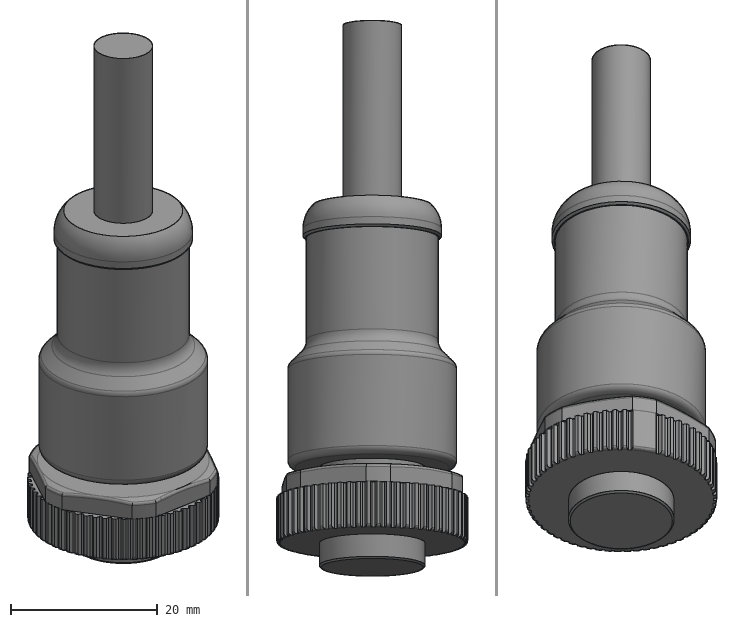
import cadquery as cq
import math

TOTAL_HEIGHT = 74.9
CABLE_RADIUS = 4.0

STEM_RADIUS = 7.2
STEM_CHAMFER = 0.25

BODY_BOTTOM = 13.8
BODY_RADIUS = 11.5
BODY_BOTTOM_FILLET = 1.0
SHOULDER_START = 27.4
SHOULDER_ANGLE = math.radians(45)
SHOULDER_ROUND = 1.0
NECK_ROUND = 2.5
NECK_RADIUS = 9.0
COLLAR_BOTTOM = 45.5
COLLAR_RADIUS = 9.45
COLLAR_STRAIGHT_TOP = 46.8
COLLAR_CHAMFER = 0.3
BODY_TOP = 50.0
BODY_TOP_RADIUS = 8.1

NUT_BOTTOM = 3.35
KNURL_TOP = 9.6
NUT_TOP = 12.3
NUT_RADIUS = 13.0
RING_FILLET = 0.4
HEX_ACROSS_FLATS = 24.0
HEX_CORNER_ANGLE = 229.0
HEX_TOP_RADIUS = 11.7
HEX_RIM_FILLET = 0.4
HEX_TOP_SLOPE = math.radians(15)
POLYGON_FIRST_CORNER = 30.0

GROOVE_POSITIONS = 60
SKIPPED_GROOVES = 2
GROOVE_DEPTH = 0.45
GROOVE_MOUTH_WIDTH = 0.9
GROOVE_ROOT_WIDTH = 0.35


def cylinder(radius, bottom, top):
    return cq.Workplane("XY").workplane(offset=bottom).circle(radius).extrude(top - bottom)


def make_body():
    """Revolved grip: rounded shoulder, concave neck and a domed end collar."""
    diagonal_sin = math.sin(SHOULDER_ANGLE)
    diagonal_cos = math.cos(SHOULDER_ANGLE)

    def round_point(radius, turn):
        """Offset (inward, upward) along a round that starts on a vertical wall."""
        return radius * (1 - math.cos(turn)), radius * math.sin(turn)

    mid_in, mid_up = round_point(SHOULDER_ROUND, SHOULDER_ANGLE / 2)
    end_in, end_up = round_point(SHOULDER_ROUND, SHOULDER_ANGLE)
    shoulder_mid = (BODY_RADIUS - mid_in, SHOULDER_START + mid_up)
    cone_start = (BODY_RADIUS - end_in, SHOULDER_START + end_up)

    neck_mid_out, neck_mid_down = round_point(NECK_ROUND, SHOULDER_ANGLE / 2)
    neck_out, neck_down = round_point(NECK_ROUND, SHOULDER_ANGLE)
    cone_end_radius = NECK_RADIUS + neck_out
    cone_rise = (cone_start[0] - cone_end_radius) * diagonal_sin / diagonal_cos
    cone_end = (cone_end_radius, cone_start[1] + cone_rise)
    neck_start = cone_end[1] + neck_down
    neck_mid = (NECK_RADIUS + neck_mid_out, neck_start - neck_mid_down)

    profile = (
        cq.Workplane("XZ")
        .moveTo(0, BODY_BOTTOM)
        .lineTo(BODY_RADIUS - BODY_BOTTOM_FILLET, BODY_BOTTOM)
        .radiusArc((BODY_RADIUS, BODY_BOTTOM + BODY_BOTTOM_FILLET), -BODY_BOTTOM_FILLET)
        .lineTo(BODY_RADIUS, SHOULDER_START)
        .threePointArc(shoulder_mid, cone_start)
        .lineTo(*cone_end)
        .threePointArc(neck_mid, (NECK_RADIUS, neck_start))
        .lineTo(NECK_RADIUS, COLLAR_BOTTOM)
        .lineTo(COLLAR_RADIUS - COLLAR_CHAMFER, COLLAR_BOTTOM)
        .lineTo(COLLAR_RADIUS, COLLAR_BOTTOM + COLLAR_CHAMFER)
        .lineTo(COLLAR_RADIUS, COLLAR_STRAIGHT_TOP)
        .tangentArcPoint((BODY_TOP_RADIUS, BODY_TOP), relative=False)
        .lineTo(0, BODY_TOP)
        .close()
    )
    return profile.revolve(360, (0, 0, 0), (0, 1, 0))


def make_hexagon():
    """Hexagon with corners on the nut radius, a shallow conical top and a rounded rim."""
    hexagon = (
        cq.Workplane("XY")
        .workplane(offset=KNURL_TOP)
        .polygon(6, HEX_ACROSS_FLATS, circumscribed=True)
        .extrude(NUT_TOP - KNURL_TOP)
        .rotate((0, 0, 0), (0, 0, 1), HEX_CORNER_ANGLE - POLYGON_FIRST_CORNER)
    )
    cone_drop = (NUT_RADIUS - HEX_TOP_RADIUS) * math.tan(HEX_TOP_SLOPE)
    envelope = (
        cq.Workplane("XZ")
        .moveTo(0, KNURL_TOP)
        .lineTo(NUT_RADIUS, KNURL_TOP)
        .lineTo(NUT_RADIUS, NUT_TOP - cone_drop)
        .lineTo(HEX_TOP_RADIUS, NUT_TOP)
        .lineTo(0, NUT_TOP)
        .close()
        .revolve(360, (0, 0, 0), (0, 1, 0))
    )
    blank = hexagon.intersect(envelope)
    top_circle_height = blank.faces(">Z").val().BoundingBox().zmin
    cone_edges = blank.faces("%CONE").edges().vals()
    rim = [edge for edge in cone_edges if edge.BoundingBox().zmax < top_circle_height]
    return blank.newObject(rim).fillet(HEX_RIM_FILLET)


def make_grooves():
    """Tapered grooves around the knurl, leaving one hexagon corner smooth."""
    root_radius = NUT_RADIUS - GROOVE_DEPTH
    cutter_radius = NUT_RADIUS + GROOVE_DEPTH
    cutter_width = 2 * GROOVE_MOUTH_WIDTH - GROOVE_ROOT_WIDTH
    groove = (
        cq.Workplane("XY")
        .workplane(offset=NUT_BOTTOM)
        .moveTo(root_radius, -GROOVE_ROOT_WIDTH / 2)
        .lineTo(cutter_radius, -cutter_width / 2)
        .lineTo(cutter_radius, cutter_width / 2)
        .lineTo(root_radius, GROOVE_ROOT_WIDTH / 2)
        .close()
        .extrude(KNURL_TOP - NUT_BOTTOM)
        .val()
    )
    pitch = 360 / GROOVE_POSITIONS
    first_angle = HEX_CORNER_ANGLE + (SKIPPED_GROOVES + 1) / 2 * pitch
    grooves = []
    for index in range(GROOVE_POSITIONS - SKIPPED_GROOVES):
        angle = first_angle + index * pitch
        grooves.append(groove.rotate((0, 0, 0), (0, 0, 1), angle))
    return cq.Workplane(cq.Compound.makeCompound(grooves))


def make_nut():
    ring = (
        cylinder(NUT_RADIUS, NUT_BOTTOM, KNURL_TOP)
        .faces("<Z")
        .edges()
        .fillet(RING_FILLET)
        .rotate((0, 0, 0), (0, 0, 1), HEX_CORNER_ANGLE)
    )
    return ring.cut(make_grooves()).union(make_hexagon(), clean=False)


stem = cylinder(STEM_RADIUS, 0, BODY_BOTTOM).faces("<Z").chamfer(STEM_CHAMFER)
cable = cylinder(CABLE_RADIUS, BODY_TOP, TOTAL_HEIGHT)

core = stem.union(make_body()).union(cable)

result = core.union(make_nut(), clean=False)